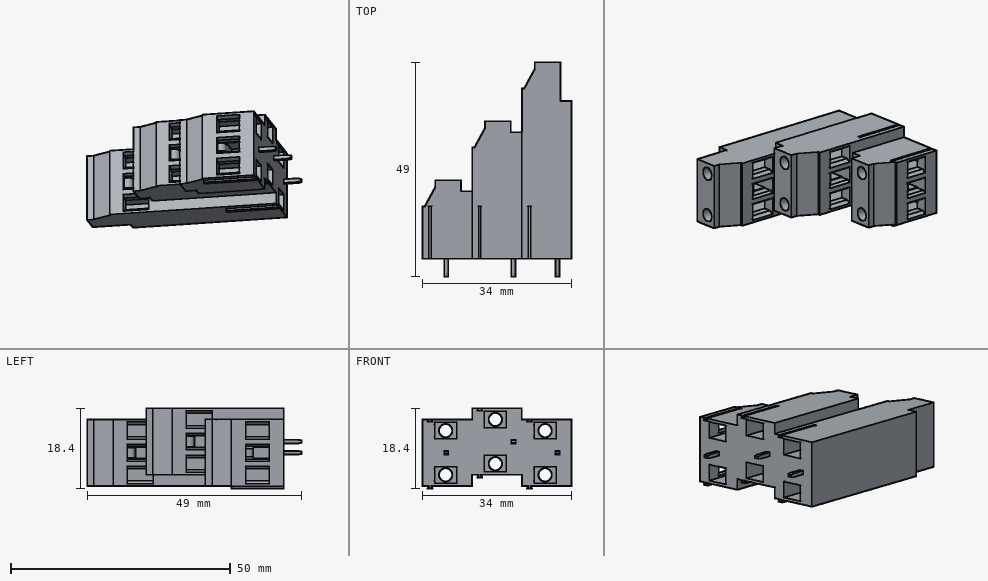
import cadquery as cq


MODULE_COUNT = 3
TOTAL_WIDTH = 34.05
TOTAL_DEPTH = 49.0
MODULE_WIDTH = TOTAL_WIDTH / MODULE_COUNT
MODULE_HEIGHT = 15.25
MIDDLE_RAISE = 2.55
DEPTH_STEP = 13.48
FIRST_DEPTH = 18.0

SHOULDER_DEPTH = 12.0
SHOULDER_WIDTH = 0.55
SLOPE_END_DEPTH = 16.4
NOSE_LEFT = 2.95
NOSE_RIGHT = 8.85
NOTCH_DEPTHS = (2.5, 2.5, 8.85)

MID_HEIGHT = MODULE_HEIGHT / 2
ROW_PITCH = 5.05

POCKET_WIDTH = 5.05
POCKET_HEIGHT = 3.75
POCKET_LEFT = 2.8
POCKET_RIGHT = POCKET_LEFT + POCKET_WIDTH
POCKET_CENTRE = POCKET_LEFT + POCKET_WIDTH / 2
SCREW_HOLE_DIAMETER = 3.0

WINDOW_SPANS = ((3.4, 8.7), (2.9, 8.85), (2.9, 8.85))
OUTER_WINDOW_HEIGHT = 3.95
OUTER_LIP = 0.6
MIDDLE_WINDOW_HEIGHT = 3.75
MIDDLE_LIP = 0.45
LIP_RUN = 1.7

OPENING_STEP = 0.15
OPENING_ENDS = (7.0, 6.85, 6.85)

CONTACT_HEIGHTS = (1.8, 2.35, 2.35)
CONTACT_RECESS = 1.2
CONTACT_START = 7.0
CONTACT_BEND_RADIUS = 1.1

PIN_CENTRES = (5.45, 20.8, 30.85)
PIN_WIDTH = 1.0
PIN_HEIGHT = 0.9
PIN_LENGTH = TOTAL_DEPTH - FIRST_DEPTH - (MODULE_COUNT - 1) * DEPTH_STEP
PIN_TIP_LENGTH = 0.85
PIN_TIP_HEIGHT = 0.55

DOVETAIL_CENTRE = 1.75
DOVETAIL_WIDTH = 1.22
DOVETAIL_NECK = 0.55
DOVETAIL_HEIGHT = 0.6


def module_body(index):
    """Prism with a sloped shoulder on the left and a notch on the right of its far end."""
    extra = index * DEPTH_STEP
    depth = FIRST_DEPTH + extra
    notch_depth = depth - NOTCH_DEPTHS[index]
    outline = [
        (0, 0),
        (MODULE_WIDTH, 0),
        (MODULE_WIDTH, notch_depth),
        (NOSE_RIGHT, notch_depth),
        (NOSE_RIGHT, depth),
        (NOSE_LEFT, depth),
        (NOSE_LEFT, SLOPE_END_DEPTH + extra),
        (SHOULDER_WIDTH, SHOULDER_DEPTH + extra),
        (0, SHOULDER_DEPTH + extra),
    ]
    return cq.Workplane("XY").polyline(outline).close().extrude(MODULE_HEIGHT)


def terminal_pocket(index, row_height):
    """Pocket from the board face to the shoulder, with a screw hole on to the far end."""
    pocket_depth = SHOULDER_DEPTH + index * DEPTH_STEP
    hole_depth = FIRST_DEPTH + index * DEPTH_STEP
    face = cq.Workplane("XZ", origin=(POCKET_CENTRE, 0, row_height))
    pocket = face.rect(POCKET_WIDTH, POCKET_HEIGHT).extrude(-pocket_depth)
    screw_hole = face.circle(SCREW_HOLE_DIAMETER / 2).extrude(-hole_depth)
    return pocket.union(screw_hole)


def side_window(index, row_height, height, lip, depth):
    """Opening into the left side, narrowing at its mouth between sloped lips."""
    start, end = WINDOW_SPANS[index]
    mouth = height / 2
    throat = mouth - lip
    lip_depth = lip * LIP_RUN
    section = [
        (0, -mouth),
        (lip_depth, -throat),
        (depth, -throat),
        (depth, throat),
        (lip_depth, throat),
        (0, mouth),
    ]
    plane = cq.Workplane("XZ", origin=(0, index * DEPTH_STEP + start, row_height))
    return plane.polyline(section).close().extrude(start - end)


def clamp_opening(index):
    """Narrower opening from the middle window on to the pocket's far wall, beside the contact."""
    start = WINDOW_SPANS[index][0]
    height = MIDDLE_WINDOW_HEIGHT - 2 * (MIDDLE_LIP + OPENING_STEP)
    corner = (POCKET_LEFT, index * DEPTH_STEP + start, MID_HEIGHT - height / 2)
    size = (POCKET_WIDTH, OPENING_ENDS[index] - start, height)
    return cq.Workplane("XY").box(*size, centered=False).translate(corner)


def contact(index):
    """Contact at the far end of the middle window, with a rounded bend facing the opening."""
    height = CONTACT_HEIGHTS[index]
    length = WINDOW_SPANS[index][1] - CONTACT_START
    corner = (CONTACT_RECESS, index * DEPTH_STEP + CONTACT_START, MID_HEIGHT - height / 2)
    block = cq.Workplane("XY").box(POCKET_LEFT - CONTACT_RECESS, length, height, centered=False)
    return block.edges("|Z and <X and <Y").fillet(CONTACT_BEND_RADIUS).translate(corner)


def dovetail(base_height):
    """Bar with its neck at the base height and its wide side below."""
    half_neck = DOVETAIL_NECK / 2
    half_width = DOVETAIL_WIDTH / 2
    section = [
        (-half_neck, 0),
        (half_neck, 0),
        (half_width, -DOVETAIL_HEIGHT),
        (-half_width, -DOVETAIL_HEIGHT),
    ]
    plane = cq.Workplane("XZ", origin=(DOVETAIL_CENTRE, 0, base_height))
    return plane.polyline(section).close().extrude(-SHOULDER_DEPTH)


def terminal_module(index):
    """One complete module without its solder pin, at the origin."""
    module = module_body(index)
    for row_height in (MID_HEIGHT - ROW_PITCH, MID_HEIGHT + ROW_PITCH):
        module = module.cut(terminal_pocket(index, row_height))
        outer_window = side_window(index, row_height, OUTER_WINDOW_HEIGHT, OUTER_LIP, POCKET_RIGHT)
        module = module.cut(outer_window)
    module = module.cut(side_window(index, MID_HEIGHT, MIDDLE_WINDOW_HEIGHT, MIDDLE_LIP, POCKET_LEFT))
    module = module.cut(clamp_opening(index))
    module = module.union(contact(index))
    module = module.cut(dovetail(MODULE_HEIGHT))
    return module.union(dovetail(0))


def solder_pin():
    """Pin standing out of the board face, tapered in height at its tip."""
    half_height = PIN_HEIGHT / 2
    half_tip = PIN_TIP_HEIGHT / 2
    taper_start = PIN_TIP_LENGTH - PIN_LENGTH
    side = [
        (0, -half_height),
        (taper_start, -half_height),
        (-PIN_LENGTH, -half_tip),
        (-PIN_LENGTH, half_tip),
        (taper_start, half_height),
        (0, half_height),
    ]
    return cq.Workplane("YZ").polyline(side).close().extrude(PIN_WIDTH / 2, both=True)


result = cq.Workplane("XY")
for index in range(MODULE_COUNT):
    base = MIDDLE_RAISE if index == MODULE_COUNT // 2 else 0
    result = result.union(terminal_module(index).translate((index * MODULE_WIDTH, 0, base)))
    result = result.union(solder_pin().translate((PIN_CENTRES[index], 0, base + MID_HEIGHT)))